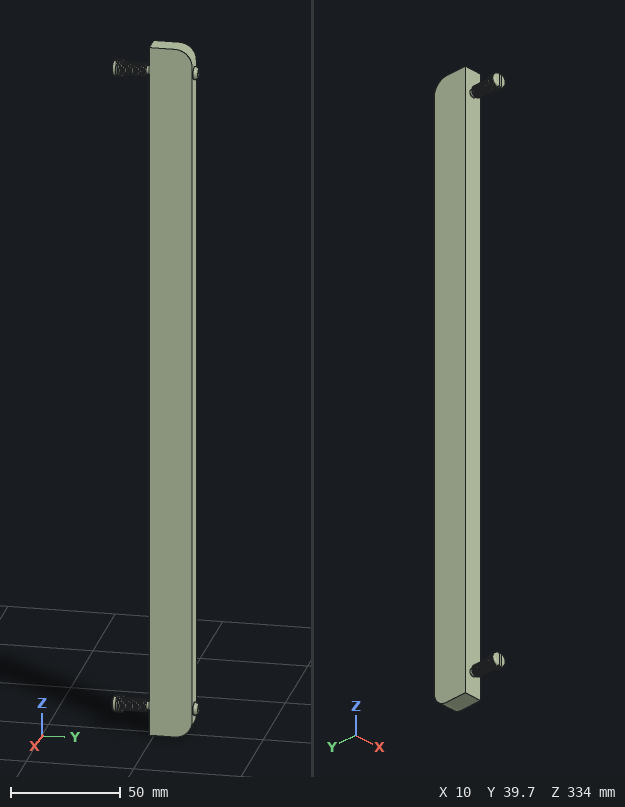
import cadquery as cq
import math

BAR_WIDTH = 10.0
BAR_DEPTH = 20.0
BAR_LENGTH = 334.0
BAR_CORNER_RADIUS = 8.0

FASTENER_END_DISTANCE = 12.7
FASTENER_HEIGHTS = [side * (BAR_LENGTH / 2 - FASTENER_END_DISTANCE) for side in (-1, 1)]

SHANK_RADIUS = 2.0
SCREW_TIP_Y = -17.7
HEAD_LENGTH = 4.7
HEAD_RADIUS = 4.0
HEAD_DOME_HEIGHT = 1.5
HEAD_FLAT_RADIUS = 2.7
SLOT_WIDTH = 1.5
SLOT_DEPTH = 1.5

SLEEVE_RADIUS = 3.0
SLEEVE_GAP = 2.0

RIDGE_PITCH = 1.0
RIDGE_HEIGHT = 0.17

CAP_RADIUS = 3.0
CAP_HEIGHT = 2.0
CAP_FLAT_RADIUS = 2.0
CAP_BORE_DEPTH = 1.0

HEAD_SEAT_Y = SCREW_TIP_Y + HEAD_LENGTH
SCREW_END_Y = BAR_DEPTH + CAP_BORE_DEPTH


def rod(radius, start_y, end_y):
    """Cylinder around the Y axis from start_y to end_y."""
    return cq.Workplane("XZ", origin=(0, start_y, 0)).circle(radius).extrude(start_y - end_y)


def turned(profile):
    """Solid made by turning a closed half outline in the XY plane about the Y axis."""
    return profile.close().revolve(360, (0, 0, 0), (0, 1, 0))


def ridged_rod(crest_radius, start_y, end_y):
    """Rod around the Y axis whose side is a row of equal V ridges."""
    root_radius = crest_radius - RIDGE_HEIGHT
    ridge_count = round((end_y - start_y) / RIDGE_PITCH)
    pitch = (end_y - start_y) / ridge_count
    profile = cq.Workplane("XY").moveTo(0, start_y).lineTo(root_radius, start_y)
    for ridge in range(ridge_count):
        ridge_y = start_y + ridge * pitch
        profile = profile.lineTo(crest_radius, ridge_y + pitch / 2)
        profile = profile.lineTo(root_radius, ridge_y + pitch)
    return turned(profile.lineTo(0, end_y))


def dome(base_radius, flat_radius, base_y, top_y):
    """Round-shouldered button from base_y to a flat top at top_y."""
    quarter_turn_middle = math.sin(math.pi / 4)
    shoulder_middle = (
        flat_radius + (base_radius - flat_radius) * quarter_turn_middle,
        base_y + (top_y - base_y) * quarter_turn_middle,
    )
    return turned(
        cq.Workplane("XY")
        .moveTo(0, base_y)
        .lineTo(base_radius, base_y)
        .threePointArc(shoulder_middle, (flat_radius, top_y))
        .lineTo(0, top_y)
    )


def make_bar():
    """Long bar with both end corners of its +Y side rounded and a hole for each screw."""
    bar = (
        cq.Workplane("XY")
        .box(BAR_WIDTH, BAR_DEPTH, BAR_LENGTH)
        .translate((0, BAR_DEPTH / 2, 0))
        .edges("|X and >Y")
        .fillet(BAR_CORNER_RADIUS)
    )
    for height in FASTENER_HEIGHTS:
        bar = bar.cut(rod(SHANK_RADIUS, 0, BAR_DEPTH).translate((0, 0, height)))
    return bar


def make_screw():
    """Screw with a ridged, domed head, a driving slot along Z and a plain shank."""
    dome_base_y = SCREW_TIP_Y + HEAD_DOME_HEIGHT
    slot = (
        cq.Workplane("XY")
        .box(SLOT_WIDTH, SLOT_DEPTH, 2 * HEAD_RADIUS)
        .translate((0, SCREW_TIP_Y + SLOT_DEPTH / 2, 0))
    )
    return (
        ridged_rod(HEAD_RADIUS, dome_base_y, HEAD_SEAT_Y)
        .union(dome(HEAD_RADIUS - RIDGE_HEIGHT, HEAD_FLAT_RADIUS, dome_base_y, SCREW_TIP_Y))
        .union(rod(SHANK_RADIUS, HEAD_SEAT_Y, SCREW_END_Y))
        .cut(slot)
    )


def make_sleeve():
    """Ridged sleeve bored through for the screw shank."""
    bore = rod(SHANK_RADIUS, HEAD_SEAT_Y, -SLEEVE_GAP)
    return ridged_rod(SLEEVE_RADIUS, HEAD_SEAT_Y, -SLEEVE_GAP).cut(bore)


def make_cap():
    """Domed cap with a blind bore for the end of the screw."""
    bore = rod(SHANK_RADIUS, BAR_DEPTH, SCREW_END_Y)
    return dome(CAP_RADIUS, CAP_FLAT_RADIUS, BAR_DEPTH, BAR_DEPTH + CAP_HEIGHT).cut(bore)


bar = make_bar()
screws = []
sleeves = []
caps = []
for height in FASTENER_HEIGHTS:
    screws.append(make_screw().translate((0, 0, height)).val())
    sleeves.append(make_sleeve().translate((0, 0, height)).val())
    caps.append(make_cap().translate((0, 0, height)).val())

result = cq.Compound.makeCompound([bar.val(), *screws, *sleeves, *caps])